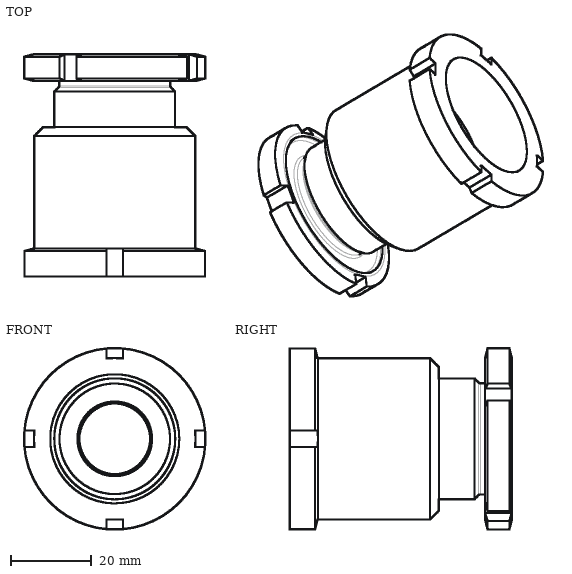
import cadquery as cq
import math

total_length = 55.11
flange_radius = 22.5
flange_chamfer_angle = 15.0
slot_count = 4
slot_floor_radius = 20.0
thread_radius = 15.0

housing_length = 37.0
housing_radius = slot_floor_radius
housing_flange_thickness = 7.0
housing_chamfer = 2.2
housing_bore_radius = 16.0
housing_bore_depth = 17.0
housing_slot_width = 4.0

spindle_front_y = 13.3
spindle_flange_thickness = 6.7
spindle_bore_radius = 8.75
spindle_bore_chamfer = 0.5
thread_chamfer = 1.3
neck_radius = 13.8
corner_fillet = 0.6
neck_front_y = 47.0
recess_radius = 19.1
recess_depth = 1.2
spindle_slot_width = 4.8
spindle_turn = 31.2

flange_chamfer_length = (flange_radius - slot_floor_radius) * math.tan(math.radians(flange_chamfer_angle))


def revolve_about_y(points):
    """Solid of revolution from (radius, y) points."""
    return cq.Workplane("XY").polyline(points).close().revolve(360, (0, 0, 0), (0, 1, 0))


def fillet_circle(body, radius, y, fillet_radius):
    """Fillet the circular edge of a given radius that lies in the plane at y."""
    tolerance = 0.01
    circles = body.edges("%CIRCLE").filter(
        lambda edge: abs(edge.radius() - radius) < tolerance and abs(edge.Center().y - y) < tolerance
    )
    return body.newObject(circles.vals()).fillet(fillet_radius)


def cut_rim_slots(body, start_y, length, width, first_angle):
    """Cut evenly spaced flat-bottomed slots through a flange rim."""
    slot_depth = flange_radius - slot_floor_radius
    slot = cq.Workplane("XY").box(2 * slot_depth, length, width, centered=(False, False, True))
    slot = slot.translate((slot_floor_radius, start_y, 0))
    for index in range(slot_count):
        angle = first_angle + index * 360 / slot_count
        body = body.cut(slot.rotate((0, 0, 0), (0, 1, 0), -angle))
    return body


def make_housing():
    profile = [
        (housing_bore_radius, 0),
        (flange_radius, 0),
        (flange_radius, housing_flange_thickness - flange_chamfer_length),
        (housing_radius, housing_flange_thickness),
        (housing_radius, housing_length - housing_chamfer),
        (housing_radius - housing_chamfer, housing_length),
        (thread_radius, housing_length),
        (thread_radius, housing_bore_depth),
        (housing_bore_radius, housing_bore_depth),
    ]
    housing = revolve_about_y(profile)
    return cut_rim_slots(housing, 0, housing_flange_thickness, housing_slot_width, 0)


def make_spindle():
    flange_front_y = total_length - spindle_flange_thickness
    recess_floor_y = flange_front_y + recess_depth
    neck_step = thread_radius - neck_radius
    profile = [
        (spindle_bore_radius, spindle_front_y + spindle_bore_chamfer),
        (spindle_bore_radius + spindle_bore_chamfer, spindle_front_y),
        (thread_radius - thread_chamfer, spindle_front_y),
        (thread_radius, spindle_front_y + thread_chamfer),
        (thread_radius, neck_front_y - neck_step),
        (neck_radius, neck_front_y),
        (neck_radius, recess_floor_y),
        (recess_radius, recess_floor_y),
        (recess_radius, flange_front_y),
        (slot_floor_radius, flange_front_y),
        (flange_radius, flange_front_y + flange_chamfer_length),
        (flange_radius, total_length - flange_chamfer_length),
        (slot_floor_radius, total_length),
        (spindle_bore_radius, total_length),
    ]
    spindle = revolve_about_y(profile)
    filleted_corners = [
        (neck_radius, neck_front_y),
        (neck_radius, recess_floor_y),
        (recess_radius, recess_floor_y),
    ]
    for radius, corner_y in filleted_corners:
        spindle = fillet_circle(spindle, radius, corner_y, corner_fillet)
    spindle = spindle.rotate((0, 0, 0), (0, 1, 0), -spindle_turn)
    return cut_rim_slots(
        spindle, flange_front_y, spindle_flange_thickness, spindle_slot_width, spindle_turn
    )


housing = make_housing()
spindle = make_spindle()

result = cq.Compound.makeCompound([housing.val(), spindle.val()])